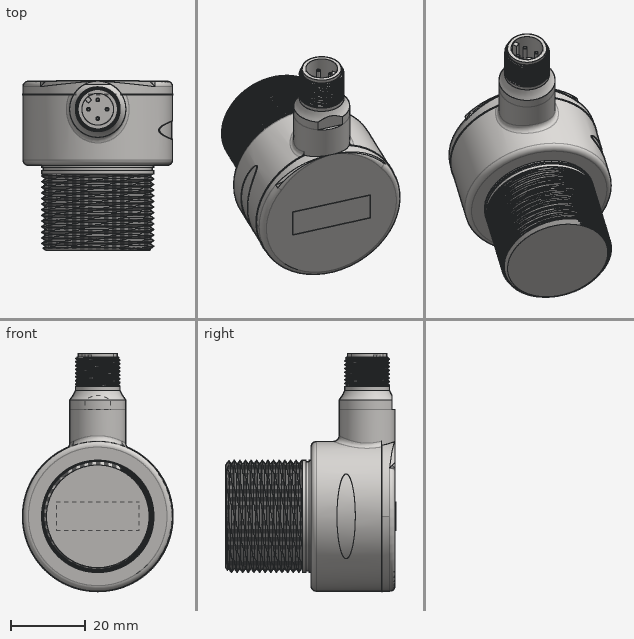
import cadquery as cq
import math


HOUSING_RADIUS = 20.0
HOUSING_LENGTH = 22.5
RIM_RADIUS = 1.5
SEAM_Y = HOUSING_LENGTH - 3.6
SEAM_WIDTH = 0.25
SEAM_HEIGHT = 0.12
RIM_TAPER_START = 40.0
RIM_TAPER_END = 84.0
RIM_TAPER_LAST_SIZE = 0.08

LABEL_LENGTH = 22.0
LABEL_WIDTH = 7.6
LABEL_HEIGHT = 0.17
OVAL_Y = 9.4
OVAL_HALF_LENGTH = 11.3
OVAL_HALF_WIDTH = 2.45
OVAL_DEPTH = 0.2

BARREL_RADIUS = 15.0
BARREL_LENGTH = 22.75
BARREL_PITCH = 1.5
BARREL_THREAD_DEPTH = 1.05
BARREL_THREAD_START = 2.3
BARREL_START_ANGLE = 235.0
BARREL_CHAMFER = 1.3
BARREL_CHAMFER_LENGTH = 0.9
UNDERCUT_DEPTH = 0.4
UNDERCUT_START = 0.5
UNDERCUT_END = 1.3

NECK_RADIUS = 7.5
NECK_Y = HOUSING_LENGTH - NECK_RADIUS
NECK_TOP = 28.55
NECK_FILLET = 1.5
COLLAR_TOP = 31.1
COLLAR_FLAT_DISTANCE = 6.65
SHOULDER_TOP = 33.6
SHOULDER_BULGE = -0.15

PLUG_RADIUS = 6.0
PLUG_PITCH = 1.0
PLUG_THREAD_DEPTH = 0.6
PLUG_THREAD_START = 34.7
PLUG_THREAD_TOP = 42.5
PLUG_START_ANGLE = 180.0
PLUG_CHAMFER = 0.5
TIP_RADIUS = 5.25
PLUG_TOP = 43.47
SOCKET_RADIUS = 4.23
SOCKET_DEPTH = 8.0
PIN_COUNT = 4
PIN_RADIUS = 0.5
PIN_CIRCLE_RADIUS = 2.5
PIN_RECESS = 2.2
PIN_CHAMFER = 0.2
KEY_WIDTH = 1.2
KEY_INNER_RADIUS = 2.93
KEY_RECESS = 0.45
KEY_ANGLE = 135.0

OVERLAP = 1.0


def y_cylinder(radius, y_start, y_end):
    """Cylinder on the housing axis between two Y positions."""
    return cq.Workplane("XZ", origin=(0, y_start, 0)).circle(radius).extrude(y_start - y_end)


def z_cylinder(radius, z_start, z_end):
    """Cylinder on the connector axis between two heights."""
    return cq.Workplane("XY", origin=(0, NECK_Y, z_start)).circle(radius).extrude(z_end - z_start)


def threaded_rod(radius, depth, pitch, length, chamfer, chamfer_length):
    """Right-hand threaded rod from Z = 0 upwards, a groove on its +X side at Z = 0, its top chamfered."""

    def flank_point(half_turns):
        flank_radius = radius - depth + depth * abs(half_turns)
        angle = math.pi * half_turns
        return (flank_radius * math.cos(angle), flank_radius * math.sin(angle))

    thread = (
        cq.Workplane("XY")
        .moveTo(*flank_point(0))
        .threePointArc(flank_point(0.25), flank_point(0.5))
        .threePointArc(flank_point(0.75), flank_point(1))
        .threePointArc(flank_point(-0.75), flank_point(-0.5))
        .threePointArc(flank_point(-0.25), flank_point(0))
        .close()
        .twistExtrude(length, 360 * length / pitch)
    )
    outside = radius + OVERLAP
    chamfer_slope = chamfer_length / chamfer
    chamfered_outline = (
        cq.Workplane("XZ")
        .moveTo(0, -OVERLAP)
        .lineTo(outside, -OVERLAP)
        .lineTo(outside, length - chamfer_length - OVERLAP * chamfer_slope)
        .lineTo(radius - chamfer - OVERLAP, length + OVERLAP * chamfer_slope)
        .lineTo(0, length + OVERLAP * chamfer_slope)
        .close()
        .revolve(360, (0, 0, 0), (0, 1, 0))
    )
    return thread.intersect(chamfered_outline, clean=False)


def rim_point(angle):
    """Point on the sharp rear rim, at an angle from +X towards +Z."""
    turn = math.radians(angle)
    return cq.Vector(HOUSING_RADIUS * math.cos(turn), HOUSING_LENGTH, HOUSING_RADIUS * math.sin(turn))


def rim_corner(size, angle):
    """Outline of the corner that a rim rounding of this size removes, at an angle from +X towards +Z."""
    tangent_radius = HOUSING_RADIUS - size
    tangent_y = HOUSING_LENGTH - size
    bulge = size * math.sqrt(0.5)
    outline = (
        cq.Workplane("XY")
        .moveTo(HOUSING_RADIUS, tangent_y)
        .threePointArc((tangent_radius + bulge, tangent_y + bulge), (tangent_radius, HOUSING_LENGTH))
        .lineTo(HOUSING_RADIUS, HOUSING_LENGTH)
        .close()
    )
    return outline.val().rotate(cq.Vector(0, 0, 0), cq.Vector(0, 1, 0), -angle)


def round_rear_rim(body):
    """Round the rear rim: constant size below, fading to nearly sharp on both sides of the neck."""
    lower_sweep = 180 + 2 * RIM_TAPER_START
    lower_outline = rim_corner(RIM_RADIUS, RIM_TAPER_START)
    lower = cq.Solid.revolve(lower_outline, [], lower_sweep, cq.Vector(0, 0, 0), cq.Vector(0, 1, 0))
    middle = (RIM_TAPER_START + RIM_TAPER_END) / 2
    arc = cq.Edge.makeThreePointArc(*[rim_point(angle) for angle in (RIM_TAPER_START, middle, RIM_TAPER_END)])
    outlines = [lower_outline, rim_corner(RIM_TAPER_LAST_SIZE, RIM_TAPER_END)]
    taper = cq.Workplane(cq.Solid.sweep_multi(outlines, cq.Wire.assembleEdges([arc]), True, True))
    return body.cut(cq.Workplane(lower)).cut(taper).cut(taper.mirror("YZ"))


def make_housing():
    """Round housing with the neck growing out of it and a fillet around the neck in front of the seam."""
    neck = z_cylinder(NECK_RADIUS, 0, NECK_TOP)
    front = y_cylinder(HOUSING_RADIUS, 0, SEAM_Y).faces("<Y").edges().fillet(RIM_RADIUS)
    front_half = cq.Workplane("XY").box(
        4 * HOUSING_RADIUS, SEAM_Y, 4 * HOUSING_RADIUS, centered=(True, False, True)
    )
    front = front.union(neck.intersect(front_half))
    junction = cq.selectors.BoxSelector(
        (-NECK_RADIUS - OVERLAP, NECK_Y - NECK_RADIUS - OVERLAP, HOUSING_RADIUS - 2 * RIM_RADIUS),
        (NECK_RADIUS + OVERLAP, SEAM_Y - OVERLAP, HOUSING_RADIUS + OVERLAP),
    )
    front = front.edges(junction).edges("not |Z").fillet(NECK_FILLET)
    lid = round_rear_rim(y_cylinder(HOUSING_RADIUS, SEAM_Y, HOUSING_LENGTH))
    ridge = y_cylinder(HOUSING_RADIUS + SEAM_HEIGHT, SEAM_Y - SEAM_WIDTH / 2, SEAM_Y + SEAM_WIDTH / 2)
    return front.union(lid).union(neck).union(ridge)


def make_label():
    """Raised label on the back of the housing."""
    return (
        cq.Workplane("XZ", origin=(0, HOUSING_LENGTH, 0)).rect(LABEL_LENGTH, LABEL_WIDTH).extrude(-LABEL_HEIGHT)
    )


def make_oval_recess():
    """Shallow oval sunk into the +X side of the housing, its floor concentric with the housing."""
    oval = (
        cq.Workplane("YZ", origin=(0, OVAL_Y, 0))
        .ellipse(OVAL_HALF_WIDTH, OVAL_HALF_LENGTH)
        .extrude(HOUSING_RADIUS + OVERLAP)
    )
    return oval.cut(y_cylinder(HOUSING_RADIUS - OVAL_DEPTH, 0, HOUSING_LENGTH))


def make_barrel():
    """Threaded sensing barrel with an undercut behind the thread."""
    thread = threaded_rod(
        BARREL_RADIUS,
        BARREL_THREAD_DEPTH,
        BARREL_PITCH,
        BARREL_LENGTH - BARREL_THREAD_START,
        BARREL_CHAMFER,
        BARREL_CHAMFER_LENGTH,
    )
    thread = (
        thread.rotate((0, 0, 0), (0, 0, 1), BARREL_START_ANGLE)
        .rotate((0, 0, 0), (1, 0, 0), 90)
        .translate((0, -BARREL_THREAD_START, 0))
    )
    seat = y_cylinder(BARREL_RADIUS, 0, -UNDERCUT_START)
    undercut = y_cylinder(BARREL_RADIUS - UNDERCUT_DEPTH, -UNDERCUT_START, -UNDERCUT_END)
    shoulder = y_cylinder(BARREL_RADIUS, -UNDERCUT_END, -BARREL_THREAD_START)
    return seat.union(undercut).union(shoulder).union(thread, clean=False)


def make_socket():
    """Empty space of the connector socket, around its pins and coding key."""
    floor = PLUG_TOP - SOCKET_DEPTH
    socket = z_cylinder(SOCKET_RADIUS, floor, PLUG_TOP)
    key = (
        cq.Workplane("XY", origin=(0, 0, floor))
        .center(0, NECK_Y)
        .transformed(rotate=(0, 0, KEY_ANGLE))
        .moveTo(KEY_INNER_RADIUS + SOCKET_RADIUS / 2, 0)
        .rect(SOCKET_RADIUS, KEY_WIDTH)
        .extrude(SOCKET_DEPTH - KEY_RECESS)
    )
    pins = (
        cq.Workplane("XY", origin=(0, NECK_Y, floor))
        .polarArray(PIN_CIRCLE_RADIUS, 0, 360, PIN_COUNT)
        .circle(PIN_RADIUS)
        .extrude(SOCKET_DEPTH - PIN_RECESS)
        .faces(">Z")
        .edges()
        .chamfer(PIN_CHAMFER)
    )
    return socket.cut(key).cut(pins)


def make_connector():
    """Collar, concave shoulder, threaded plug and plain tip above the neck."""
    collar = z_cylinder(NECK_RADIUS, NECK_TOP, COLLAR_TOP)
    middle_radius = (NECK_RADIUS + PLUG_RADIUS) / 2 + SHOULDER_BULGE
    middle_height = (COLLAR_TOP + SHOULDER_TOP) / 2
    shoulder = (
        cq.Workplane("XZ", origin=(0, NECK_Y, 0))
        .moveTo(0, COLLAR_TOP)
        .lineTo(NECK_RADIUS, COLLAR_TOP)
        .threePointArc((middle_radius, middle_height), (PLUG_RADIUS, SHOULDER_TOP))
        .lineTo(0, SHOULDER_TOP)
        .close()
        .revolve(360, (0, 0, 0), (0, 1, 0))
    )
    behind_flat = cq.Workplane("XY", origin=(0, NECK_Y + COLLAR_FLAT_DISTANCE, NECK_TOP)).box(
        2 * NECK_RADIUS, NECK_RADIUS, SHOULDER_TOP - NECK_TOP, centered=(True, False, False)
    )
    thread = threaded_rod(
        PLUG_RADIUS,
        PLUG_THREAD_DEPTH,
        PLUG_PITCH,
        PLUG_THREAD_TOP - PLUG_THREAD_START,
        PLUG_CHAMFER,
        PLUG_CHAMFER,
    )
    thread = thread.rotate((0, 0, 0), (0, 0, 1), PLUG_START_ANGLE).translate((0, NECK_Y, PLUG_THREAD_START))
    plain_plug = z_cylinder(PLUG_RADIUS, SHOULDER_TOP, PLUG_THREAD_START)
    tip = z_cylinder(TIP_RADIUS, PLUG_THREAD_TOP, PLUG_TOP)
    connector = collar.union(shoulder).cut(behind_flat).union(plain_plug)
    connector = connector.union(thread, clean=False).union(tip, clean=False)
    return connector.cut(make_socket(), clean=False)


result = (
    make_housing()
    .cut(make_oval_recess())
    .union(make_label())
    .union(make_barrel(), clean=False)
    .union(make_connector(), clean=False)
)